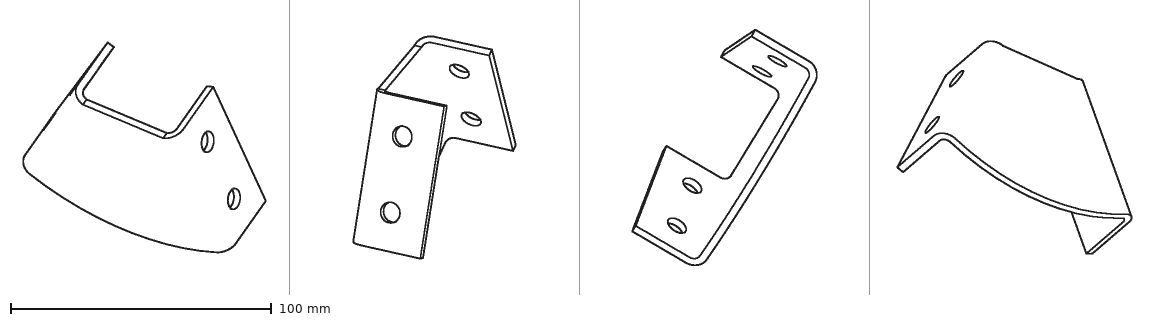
import cadquery as cq
import math

thickness = 3.0
inner_bend_radius = 3.0
outer_bend_radius = inner_bend_radius + thickness
depth = 30.0
top_edge_length = 35.0
flange_length = 60.0
splay_angle = 22.5
bottom_arc_radius = 90.0

hole_diameter = 8.0
hole_spacing = 30.0
hole_depth_position = depth / 2

splay = math.radians(splay_angle)
top_half_width = top_edge_length / 2
bottom_half_width = top_half_width + flange_length * math.sin(splay)
corner_z = -flange_length * math.cos(splay)
arc_sagitta = bottom_arc_radius - math.sqrt(bottom_arc_radius**2 - bottom_half_width**2)


def make_web():
    """Flat fan: straight top, slanted sides and an arc along the bottom."""
    return (
        cq.Workplane("XZ")
        .moveTo(-top_half_width, 0)
        .lineTo(top_half_width, 0)
        .lineTo(bottom_half_width, corner_z)
        .threePointArc((0, corner_z - arc_sagitta), (-bottom_half_width, corner_z))
        .close()
        .extrude(-thickness)
    )


def make_right_flange():
    """Bend and drilled flange, made upright at the origin and then tilted onto the bend line."""
    diagonal = math.sqrt(0.5)
    outer_middle = (outer_bend_radius * diagonal, outer_bend_radius * (1 - diagonal))
    inner_middle = (inner_bend_radius * diagonal, outer_bend_radius - inner_bend_radius * diagonal)
    flange = (
        cq.Workplane("XY")
        .moveTo(0, 0)
        .threePointArc(outer_middle, (outer_bend_radius, outer_bend_radius))
        .lineTo(outer_bend_radius, depth)
        .lineTo(inner_bend_radius, depth)
        .lineTo(inner_bend_radius, outer_bend_radius)
        .threePointArc(inner_middle, (0, thickness))
        .close()
        .extrude(-flange_length)
    )
    middle_z = -flange_length / 2
    hole_centres = [
        (hole_depth_position, middle_z - hole_spacing / 2),
        (hole_depth_position, middle_z + hole_spacing / 2),
    ]
    holes = (
        cq.Workplane("YZ")
        .pushPoints(hole_centres)
        .circle(hole_diameter / 2)
        .extrude(outer_bend_radius)
    )
    return (
        flange.cut(holes)
        .rotate((0, 0, 0), (0, 1, 0), -splay_angle)
        .translate((top_half_width, 0, 0))
    )


right_flange = make_right_flange()
left_flange = right_flange.mirror("YZ")
result = make_web().union(right_flange).union(left_flange)